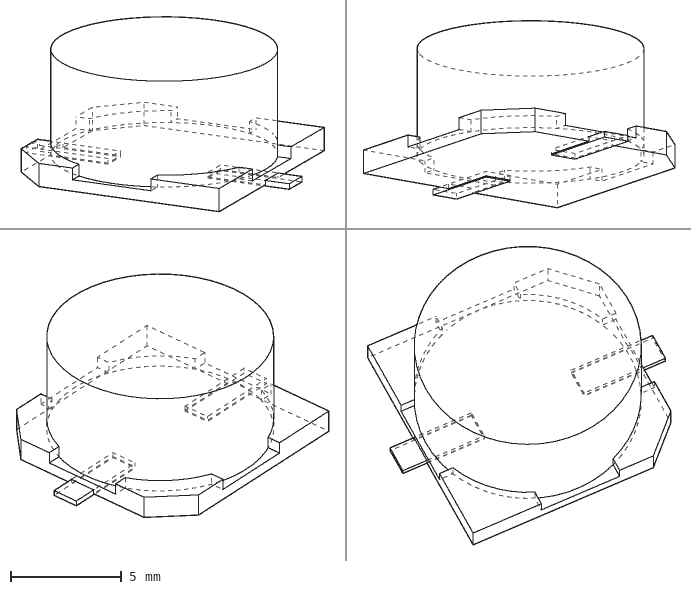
import cadquery as cq

overall_length = 13.21
overall_height = 5.57

base_width = 10.8
base_bottom = 0.05
base_top = 1.15
corner_chamfer = 1.75
notch_width = 3.94
notch_floor = 0.6

can_diameter = 10.25

lead_length = 4.1
lead_width = 1.32
lead_thickness = 0.26


def make_can():
    """Cylinder seated at the level of the notch floors."""
    return (
        cq.Workplane("XY", origin=(0, 0, notch_floor))
        .circle(can_diameter / 2)
        .extrude(overall_height - notch_floor)
    )


def make_lead(side):
    """Flat strip reaching out along X; side is -1 or +1."""
    center_x = side * (overall_length - lead_length) / 2
    return (
        cq.Workplane("XY", origin=(center_x, 0, 0))
        .rect(lead_length, lead_width)
        .extrude(lead_thickness)
    )


def make_base(can, leads):
    """Chamfered plate with a notch in each side, a can seat and lead recesses."""
    base = (
        cq.Workplane("XY", origin=(0, 0, base_bottom))
        .rect(base_width, base_width)
        .extrude(base_top - base_bottom)
        .edges("|Z and <X")
        .chamfer(corner_chamfer)
    )
    notches = cq.Workplane("XY", origin=(0, 0, notch_floor))
    notch_depth = base_top - notch_floor
    along_x = notches.rect(base_width, notch_width).extrude(notch_depth)
    along_y = notches.rect(notch_width, base_width).extrude(notch_depth)
    base = base.cut(along_x).cut(along_y).cut(can)
    for lead in leads:
        base = base.cut(lead)
    return base


can = make_can()
leads = [make_lead(side) for side in (-1, 1)]
base = make_base(can, leads)

result = cq.Compound.makeCompound([base.val(), can.val(), *[lead.val() for lead in leads]])